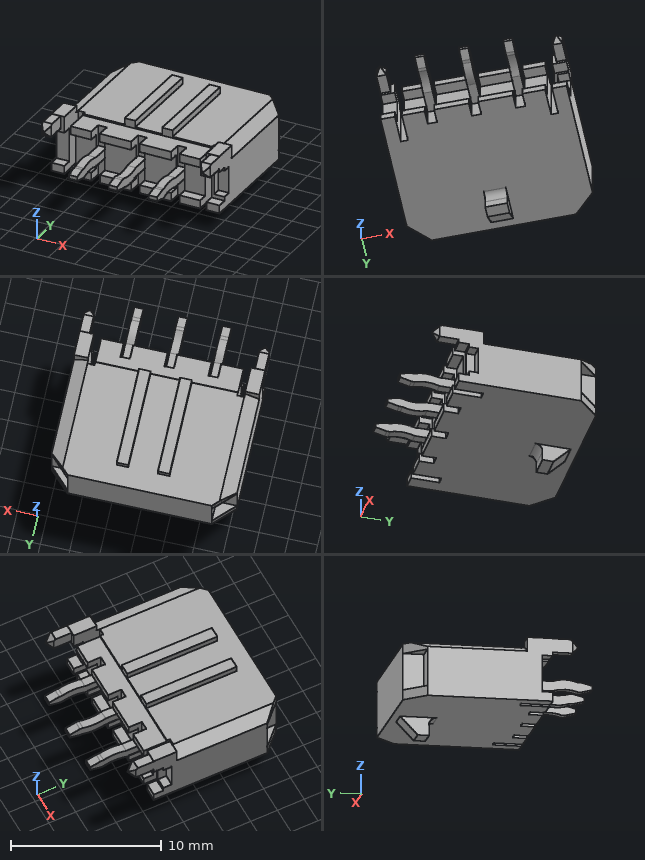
import cadquery as cq


WIDTH = 12.65
LENGTH = 9.88
OVERALL_HEIGHT = 5.57
ROOF_TOP = 3.86
PLAN_CHAMFER = 1.41
EDGE_CHAMFER_WIDTH = 0.98
EDGE_CHAMFER_DROP = 0.49
MOUTH_BOTTOM = 0.68
MOUTH_TOP = 3.18

SHELF_START = 8.15
SHELF_TOP = 3.75
RECESS_START = 9.16
RECESS_BOTTOM = 0.62
RECESS_TOP = 3.13
GAP_START = 7.92
GAP_WIDTH = 0.48

EAR_WIDTH = EDGE_CHAMFER_WIDTH
EAR_TOP = 4.34
POST_WIDTH = 0.69
POST_BOTTOM = 3.37
POST_TOP = 4.32
POST_SHOULDER = 11.21
POST_TOP_SHOULDER = 11.07
POST_TIP = 11.67

RIB_WIDTH = 0.8
RIB_CENTERS = (-1.32, 1.49)

PIN_PITCH = 3.0
PIN_POSITIONS = (-PIN_PITCH, 0, PIN_PITCH)
KINK_DIRECTIONS = (1, -1, 1)
PIN_WIDTH = 0.64
PIN_THICKNESS = 0.68
PIN_CENTER_Z = 1.87
PIN_SLOT_START = 8.895
PIN_END = 13.08
PIN_TIP_THICKNESS = 0.3
KINK_START = 10.4
KINK_END = 12.09
KINK_HEIGHT = 0.14
TAPER_START = 12.32

LATCH_WIDTH = 1.5
LATCH_DEPTH = OVERALL_HEIGHT - EAR_TOP
LATCH_RAMP_START = 0.56
LATCH_RAMP_END = 1.75
LATCH_BACK = 2.52
LATCH_FILLET = 0.5

NOTCH_WIDTH = 0.79
NOTCH_BOTTOM = 0.92
NOTCH_TOP = 2.89
NOTCH_DEPTH = 0.62

HALF_WIDTH = WIDTH / 2
EAR_INNER = HALF_WIDTH - EAR_WIDTH


def block(x_range, depth_range, z_range):
    """Box between two X values, two distances from the mating face and two heights."""
    x0, x1 = x_range
    d0, d1 = depth_range
    z0, z1 = z_range
    return cq.Workplane("XY").box(x1 - x0, d1 - d0, z1 - z0, centered=False).translate((x0, -d1, z0))


def side_profile(points, x_start, width):
    """Prism along X from (distance from the mating face, height) points."""
    outline = [(-depth, z) for depth, z in points]
    return cq.Workplane("YZ", origin=(x_start, 0, 0)).polyline(outline).close().extrude(width)


def both_sides(solid):
    """A solid together with its mirror image across X = 0."""
    return solid.union(solid.mirror("YZ"))


def make_shell():
    """Housing block with bevelled upper long edges and bevelled mating corners."""
    bevel_z = ROOF_TOP - EDGE_CHAMFER_DROP
    section = [
        (-HALF_WIDTH, 0),
        (HALF_WIDTH, 0),
        (HALF_WIDTH, bevel_z),
        (EAR_INNER, ROOF_TOP),
        (-EAR_INNER, ROOF_TOP),
        (-HALF_WIDTH, bevel_z),
    ]
    shell = cq.Workplane("XZ").polyline(section).close().extrude(LENGTH)
    corner = (
        cq.Workplane("XY")
        .polyline([(HALF_WIDTH, 0), (HALF_WIDTH, -PLAN_CHAMFER), (HALF_WIDTH - PLAN_CHAMFER, 0)])
        .close()
        .extrude(ROOF_TOP)
    )
    corner_notch = block(
        (HALF_WIDTH - PLAN_CHAMFER, HALF_WIDTH), (0, PLAN_CHAMFER), (MOUTH_BOTTOM, MOUTH_TOP)
    )
    return shell.cut(both_sides(corner.union(corner_notch)))


def make_ears():
    """Raised blocks on both sides of the board end."""
    return both_sides(block((EAR_INNER, HALF_WIDTH), (SHELF_START, LENGTH), (RECESS_TOP, EAR_TOP)))


def make_posts():
    """Pointed board posts reaching out of the ears."""
    middle_z = (POST_BOTTOM + POST_TOP) / 2
    inner = HALF_WIDTH - POST_WIDTH
    middle_x = HALF_WIDTH - POST_WIDTH / 2
    side = side_profile(
        [
            (LENGTH, POST_BOTTOM),
            (POST_SHOULDER, POST_BOTTOM),
            (POST_TIP, middle_z),
            (POST_TOP_SHOULDER, POST_TOP),
            (LENGTH, POST_TOP),
        ],
        inner,
        POST_WIDTH,
    )
    plan = (
        cq.Workplane("XY")
        .polyline(
            [
                (inner, -LENGTH),
                (inner, -POST_SHOULDER),
                (middle_x, -POST_TIP),
                (HALF_WIDTH, -POST_SHOULDER),
                (HALF_WIDTH, -LENGTH),
            ]
        )
        .close()
        .extrude(POST_TOP)
    )
    return both_sides(side.intersect(plan))


def make_ribs():
    """Keying ribs along the roof."""
    ribs = cq.Workplane("XY")
    for x in RIB_CENTERS:
        x_range = (x - RIB_WIDTH / 2, x + RIB_WIDTH / 2)
        ribs = ribs.union(block(x_range, (PLAN_CHAMFER, SHELF_START), (SHELF_TOP, EAR_TOP)))
    return ribs


def make_latch():
    """Ramped latch below the housing, with a rounded inside corner at its back."""
    return (
        cq.Workplane("YZ", origin=(-LATCH_WIDTH / 2, 0, 0))
        .moveTo(-LATCH_RAMP_START, 0)
        .lineTo(-LATCH_RAMP_END, -LATCH_DEPTH)
        .lineTo(-LATCH_BACK, -LATCH_DEPTH)
        .lineTo(-LATCH_BACK, -LATCH_FILLET)
        .radiusArc((-LATCH_BACK - LATCH_FILLET, 0), -LATCH_FILLET)
        .close()
        .extrude(LATCH_WIDTH)
    )


def make_board_end_cuts():
    """Lowered shelf, front recess, gaps beside the ears, pin slots and ear notch."""
    full = (-HALF_WIDTH, HALF_WIDTH)
    cuts = block((-EAR_INNER, EAR_INNER), (SHELF_START, LENGTH), (SHELF_TOP, EAR_TOP))
    cuts = cuts.union(block(full, (RECESS_START, LENGTH), (RECESS_BOTTOM, RECESS_TOP)))
    gap = block((EAR_INNER - GAP_WIDTH, EAR_INNER), (GAP_START, LENGTH), (0, EAR_TOP))
    cuts = cuts.union(both_sides(gap))
    for x in PIN_POSITIONS:
        x_range = (x - PIN_WIDTH / 2, x + PIN_WIDTH / 2)
        cuts = cuts.union(block(x_range, (PIN_SLOT_START, LENGTH), (0, EAR_TOP)))
    notch_x = (HALF_WIDTH - NOTCH_WIDTH, HALF_WIDTH)
    notch_depths = (RECESS_START - NOTCH_DEPTH, RECESS_START)
    return cuts.union(block(notch_x, notch_depths, (NOTCH_BOTTOM, NOTCH_TOP)))


def make_pin(x, direction):
    """Tapered pin whose kink bulges up (direction 1) or down (direction -1)."""
    top = PIN_CENTER_Z + PIN_THICKNESS / 2
    bottom = PIN_CENTER_Z - PIN_THICKNESS / 2
    tip_top = PIN_CENTER_Z + PIN_TIP_THICKNESS / 2
    tip_bottom = PIN_CENTER_Z - PIN_TIP_THICKNESS / 2
    kink_middle = (KINK_START + KINK_END) / 2
    kink = direction * KINK_HEIGHT
    return (
        cq.Workplane("YZ", origin=(x - PIN_WIDTH / 2, 0, 0))
        .moveTo(-PIN_SLOT_START, top)
        .lineTo(-KINK_START, top)
        .threePointArc((-kink_middle, top + kink), (-KINK_END, top))
        .lineTo(-TAPER_START, top)
        .lineTo(-PIN_END, tip_top)
        .lineTo(-PIN_END, tip_bottom)
        .lineTo(-TAPER_START, bottom)
        .lineTo(-KINK_END, bottom)
        .threePointArc((-kink_middle, bottom + kink), (-KINK_START, bottom))
        .lineTo(-PIN_SLOT_START, bottom)
        .close()
        .extrude(PIN_WIDTH)
    )


result = make_shell().union(make_ears()).cut(make_board_end_cuts())
for extra in (make_ribs(), make_posts(), make_latch()):
    result = result.union(extra)
for pin_x, kink_direction in zip(PIN_POSITIONS, KINK_DIRECTIONS):
    result = result.union(make_pin(pin_x, kink_direction))